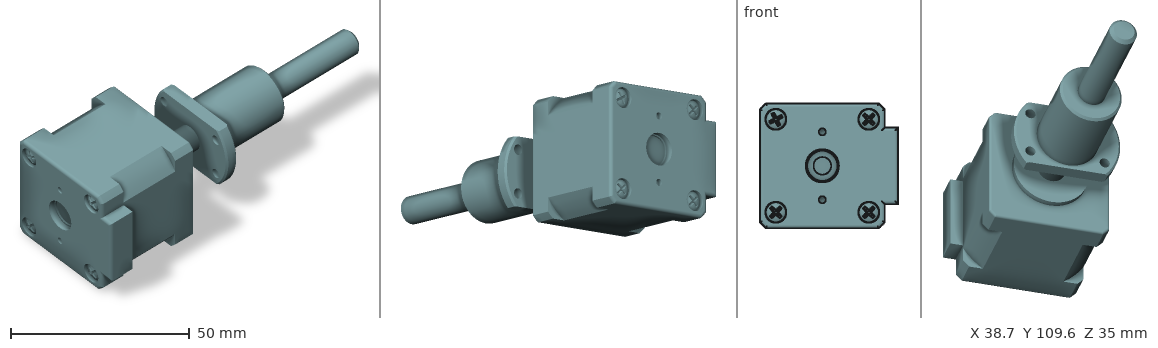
import cadquery as cq
import math


joint_y = 8.1
front_flange_y = 27.5
housing_front_y = 34.6
pilot_front_y = 36.5
nut_rear_y = 48.8
nut_flange_front_y = 52.7
nut_front_y = 76.7
shaft_front_y = 109.6

motor_width = 35.0
flange_turned_diameter = 47.0
stator_turned_diameter = 42.1
pilot_diameter = 21.9
front_edge_radius = 0.7

rear_edge_radius = 1.0
connector_right_x = motor_width / 2 + 3.7
connector_height = 21.5
recess_diameter = 9.3
recess_depth = 2.6
recess_step_depth = 2.1
recess_floor_diameter = 8.4
dimple_diameter = 2.0
dimple_spacing = 19.0
dimple_depth = 1.6
drill_point_angle = 118.0

shaft_diameter = 8.0
shaft_end_chamfer = 1.0
tail_diameter = 4.9

nut_diameter = 18.0
nut_end_chamfer = 0.7
nut_flange_diameter = 30.9
nut_flange_height = 20.1
nut_flange_chamfer = 0.5
nut_hole_diameter = 3.0
nut_hole_circle = 25.0
nut_hole_angle = 30.0

screw_spacing = 26.0
screw_pocket_diameter = 5.9
screw_pocket_depth = 2.1
screw_head_diameter = 5.6
screw_rim_y = 1.1
screw_crown_y = 0.3
screw_shank_diameter = 3.0
screw_tip_y = 15.3
cross_length = 4.2
cross_width = 1.1
cross_taper = 12.0
cross_floor_y = 1.4
screw_places = [(-1, 1, 27), (1, 1, 45), (-1, -1, 45), (1, -1, 45)]


def section(start_y):
    """Sketch plane across the axis: local x is X, local y is Z, and extrusion runs toward +Y."""
    return cq.Workplane("XZ", origin=(0, start_y, 0))


def disc(diameter, start_y, end_y, x=0.0, z=0.0):
    return section(start_y).center(x, z).circle(diameter / 2).extrude(start_y - end_y)


def block(width, height, start_y, end_y):
    return section(start_y).rect(width, height).extrude(start_y - end_y)


def turned_square(turned_diameter, start_y, end_y):
    """Motor-width square bar with its corners turned down to a circle."""
    square = block(motor_width, motor_width, start_y, end_y)
    return square.intersect(disc(turned_diameter, start_y, end_y))


def screw_xz(x_side, z_side):
    return x_side * screw_spacing / 2, z_side * screw_spacing / 2


def screw_shanks():
    shanks = cq.Workplane("XZ")
    for x_side, z_side, _ in screw_places:
        shanks = shanks.add(disc(screw_shank_diameter, screw_pocket_depth, screw_tip_y,
                                 *screw_xz(x_side, z_side)))
    return shanks.combine()


def make_housing():
    """Stator, front flange and pilot boss, bored for the shaft and the cover screws."""
    flange = turned_square(flange_turned_diameter, front_flange_y, housing_front_y)
    flange = flange.faces(">Y").edges().fillet(front_edge_radius)
    stator = turned_square(stator_turned_diameter, joint_y, front_flange_y)
    housing = stator.union(flange, clean=False)
    housing = housing.union(disc(pilot_diameter, housing_front_y, pilot_front_y), clean=False)
    housing = housing.cut(disc(shaft_diameter, joint_y, pilot_front_y), clean=False)
    return housing.cut(screw_shanks(), clean=False)


def make_dimple(z):
    """Blind drilled hole with a pointed bottom."""
    radius = dimple_diameter / 2
    point_length = radius / math.tan(math.radians(drill_point_angle / 2))
    return (
        cq.Workplane("XY")
        .polyline([(0, 0), (radius, 0), (radius, dimple_depth), (0, dimple_depth + point_length)])
        .close()
        .revolve(360, (0, 0), (0, 1))
        .translate((0, 0, z))
    )


def make_cover():
    """Rear cover with the connector block, shaft recess, dimples and screw pockets."""
    cover = turned_square(flange_turned_diameter, 0, joint_y)
    connector = block(connector_right_x, connector_height, 0, joint_y)
    cover = cover.union(connector.translate((connector_right_x / 2, 0, 0)))
    cover = cover.faces("<Y").edges().fillet(rear_edge_radius)

    cover = cover.cut(disc(recess_diameter, 0, recess_step_depth))
    cover = cover.cut(disc(recess_floor_diameter, recess_step_depth, recess_depth))
    cover = cover.cut(disc(tail_diameter, recess_depth, joint_y))

    for side in (-1, 1):
        cover = cover.cut(make_dimple(side * dimple_spacing / 2))
    for x_side, z_side, _ in screw_places:
        cover = cover.cut(disc(screw_pocket_diameter, 0, screw_pocket_depth, *screw_xz(x_side, z_side)))
    return cover.cut(screw_shanks())


def make_shaft():
    """Shaft with a thinner tail that ends flush with the cover's recess floor."""
    shaft = disc(shaft_diameter, joint_y, shaft_front_y)
    shaft = shaft.faces(">Y").edges().chamfer(shaft_end_chamfer)
    return shaft.union(disc(tail_diameter, recess_depth, joint_y))


def make_nut():
    """Nut barrel with a flange that is cut flat above and below."""
    flange = disc(nut_flange_diameter, nut_rear_y, nut_flange_front_y)
    flange = flange.edges().chamfer(nut_flange_chamfer)
    flange = flange.intersect(block(nut_flange_diameter, nut_flange_height, nut_rear_y, nut_flange_front_y))
    barrel = disc(nut_diameter, nut_flange_front_y, nut_front_y)
    barrel = barrel.faces(">Y").edges().chamfer(nut_end_chamfer)
    nut = flange.union(barrel).cut(disc(shaft_diameter, nut_rear_y, nut_front_y))

    hole_x = nut_hole_circle / 2 * math.cos(math.radians(nut_hole_angle))
    hole_z = nut_hole_circle / 2 * math.sin(math.radians(nut_hole_angle))
    for x_side in (-1, 1):
        for z_side in (-1, 1):
            nut = nut.cut(disc(nut_hole_diameter, nut_rear_y, nut_flange_front_y,
                               x_side * hole_x, z_side * hole_z))
    return nut


def make_screw(x_side, z_side, cross_turn):
    """Screw with a domed head and a cross recess."""
    head_radius = screw_head_diameter / 2
    crown_height = screw_rim_y - screw_crown_y
    dome_radius = (head_radius**2 + crown_height**2) / (2 * crown_height)
    half_radius = head_radius / 2
    half_y = screw_crown_y + dome_radius - math.sqrt(dome_radius**2 - half_radius**2)
    head = (
        cq.Workplane("XY")
        .moveTo(0, screw_crown_y)
        .threePointArc((half_radius, half_y), (head_radius, screw_rim_y))
        .lineTo(head_radius, screw_pocket_depth)
        .lineTo(0, screw_pocket_depth)
        .close()
        .revolve(360, (0, 0), (0, 1))
    )
    cross = section(0).rect(cross_length, cross_width).extrude(-cross_floor_y, taper=cross_taper)
    cross = cross.union(cross.rotate((0, 0, 0), (0, 1, 0), 90))
    head = head.cut(cross.rotate((0, 0, 0), (0, -1, 0), cross_turn))
    screw = head.union(disc(screw_shank_diameter, screw_pocket_depth, screw_tip_y))
    x, z = screw_xz(x_side, z_side)
    return screw.translate((x, 0, z))


housing = make_housing()
cover = make_cover()
shaft = make_shaft()
nut = make_nut()
screws = [make_screw(*place) for place in screw_places]

result = cq.Compound.makeCompound(
    [housing.val(), cover.val(), shaft.val(), nut.val(), *[screw.val() for screw in screws]]
)